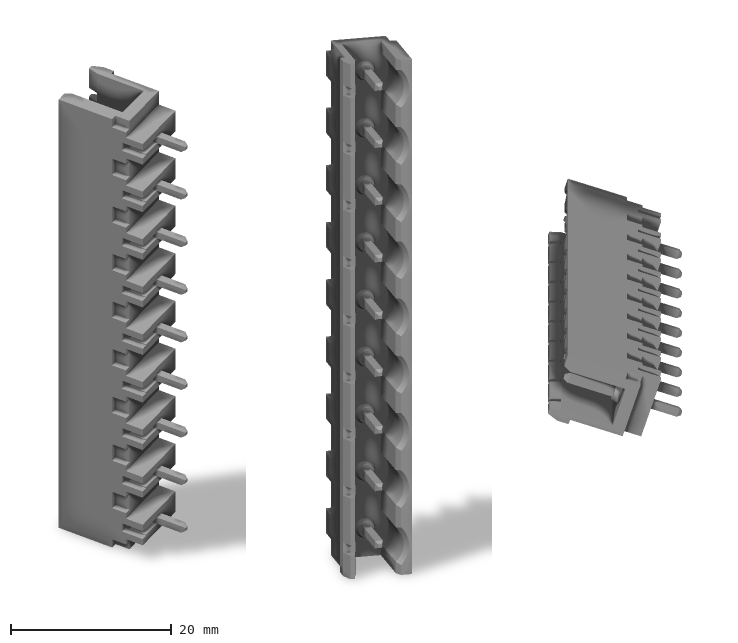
import cadquery as cq


LENGTH = 67.5
PIN_COUNT = 9
PITCH = LENGTH / PIN_COUNT
PIN_Z = [PITCH * (i + 0.5) for i in range(PIN_COUNT)]

BODY_DEPTH = 9.8
FLOOR_X = 8.2
GUIDE_WALL = 1.9
GUIDE_BEVEL_X = 0.9
GUIDE_BEVEL_Y = 0.5
LATCH_INNER_Y = 6.95
LATCH_OUTER_Y = 7.9

HOOK_TOP_Y = 8.5
HOOK_TAPER_X = 1.4
HOOK_END_X = 2.9
NOSE_LOW_Y = 7.35
NOSE_HIGH_Y = 7.95
NOTCH_WIDTH = 1.35

PIN_Y = 3.9
PIN_SIZE = 1.0
PIN_START_X = 0.8
PIN_END_X = 16.2
FRONT_TIP = 0.6
REAR_TIP = 0.5
PIN_TIP_INSET = 0.3
COLLAR_HEIGHT = 0.9
COLLAR_BASE_RADIUS = 1.3
COLLAR_TOP_RADIUS = 1.0

SCALLOP_RADIUS = 3.05

STANDOFF_END_X = 12.2
STANDOFF_WIDTH = 3.25
SLOT_START_X = 9.2
SLOT_WIDTH = 1.3
SLOT_TOP_Y = PIN_Y + PIN_SIZE / 2
SLOT_ENTRY_DEPTH = 0.8

POCKET_WIDTH = 2.55
POCKET_START_X = 7.75
POCKET_DEPTH = 0.8


def box(x0, x1, y0, y1, z_center, width):
    """Box between two X and two Y positions, centred on a Z position."""
    return (
        cq.Workplane("XY")
        .box(x1 - x0, y1 - y0, width, centered=(False, False, True))
        .translate((x0, y0, z_center))
    )


def cross_plane(x, z):
    """Workplane facing +X, with its origin on the axis of a pin."""
    return cq.Workplane("YZ", origin=(x, PIN_Y, z))


def housing():
    outline = [
        (0, 0),
        (BODY_DEPTH, 0),
        (BODY_DEPTH, LATCH_OUTER_Y),
        (HOOK_END_X, LATCH_OUTER_Y),
        (HOOK_END_X, HOOK_TOP_Y),
        (HOOK_TAPER_X, HOOK_TOP_Y),
        (0, NOSE_HIGH_Y),
        (0, NOSE_LOW_Y),
        (HOOK_TAPER_X, LATCH_INNER_Y),
        (FLOOR_X, LATCH_INNER_Y),
        (FLOOR_X, GUIDE_WALL),
        (GUIDE_BEVEL_X, GUIDE_WALL),
        (0, GUIDE_WALL - GUIDE_BEVEL_Y),
    ]
    return cq.Workplane("XY").polyline(outline).close().extrude(LENGTH)


def scallop(z):
    """Round relief in the guide wall, flared at the mouth like the wall's bevel."""
    bore = cross_plane(0, z).circle(SCALLOP_RADIUS).extrude(FLOOR_X)
    flare = (
        cross_plane(0, z)
        .circle(SCALLOP_RADIUS + GUIDE_BEVEL_Y)
        .workplane(offset=GUIDE_BEVEL_X)
        .circle(SCALLOP_RADIUS)
        .loft()
    )
    below_pin = box(0, FLOOR_X, 0, PIN_Y, z, PITCH)
    return bore.union(flare).intersect(below_pin)


def latch_notch(z):
    return box(0, HOOK_TAPER_X, LATCH_INNER_Y, HOOK_TOP_Y, z, NOTCH_WIDTH)


def pocket(z):
    return box(POCKET_START_X, BODY_DEPTH, 0, POCKET_DEPTH, z, POCKET_WIDTH)


def standoff(z):
    return box(BODY_DEPTH, STANDOFF_END_X, 0, LATCH_OUTER_Y, z, STANDOFF_WIDTH)


def tail_slot(z):
    """Wide shallow slot, deepened to the back of the pin at the pin's own width."""
    entry = box(SLOT_START_X, STANDOFF_END_X, 0, SLOT_ENTRY_DEPTH, z, SLOT_WIDTH)
    pin_channel = box(BODY_DEPTH, STANDOFF_END_X, 0, SLOT_TOP_Y, z, PIN_SIZE)
    return entry.union(pin_channel)


def pin_tip(x_end, x_shank, z):
    """Tapered pin end from its small face at x_end to the shank at x_shank."""
    small = PIN_SIZE - 2 * PIN_TIP_INSET
    return (
        cross_plane(x_end, z)
        .rect(small, small)
        .workplane(offset=x_shank - x_end)
        .rect(PIN_SIZE, PIN_SIZE)
        .loft()
    )


def pin(z):
    shank_start = PIN_START_X + FRONT_TIP
    shank_end = PIN_END_X - REAR_TIP
    shank = cross_plane(shank_start, z).rect(PIN_SIZE, PIN_SIZE).extrude(shank_end - shank_start)
    collar = (
        cross_plane(FLOOR_X - COLLAR_HEIGHT, z)
        .circle(COLLAR_TOP_RADIUS)
        .workplane(offset=COLLAR_HEIGHT)
        .circle(COLLAR_BASE_RADIUS)
        .loft()
    )
    front_tip = pin_tip(PIN_START_X, shank_start, z)
    rear_tip = pin_tip(PIN_END_X, shank_end, z)
    return shank.union(collar).union(front_tip).union(rear_tip)


result = housing()
for i in range(PIN_COUNT + 1):
    result = result.cut(pocket(i * PITCH))
for z in PIN_Z:
    result = result.cut(scallop(z)).cut(latch_notch(z))
    result = result.union(standoff(z)).cut(tail_slot(z))
    result = result.union(pin(z))